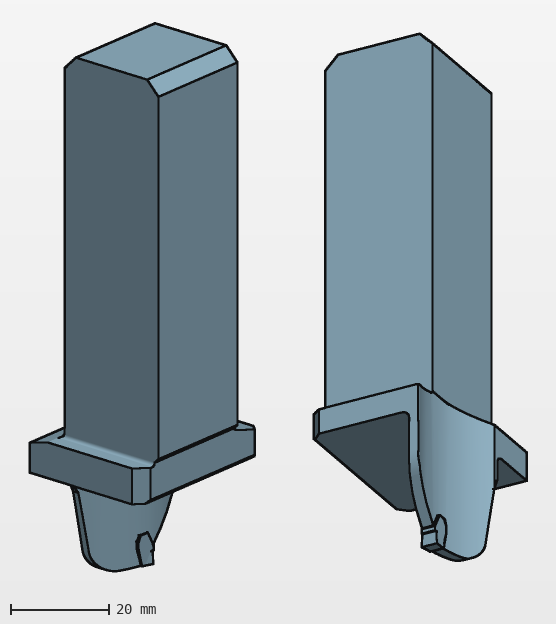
import cadquery as cq
import math


shank_width = 25.0
total_height = 118.6
shank_end_chamfer = 3.0
shank_heel_chamfer = 1.0

foot_left = -5.97
foot_right = shank_width - shank_heel_chamfer
foot_front = -4.0
foot_back = 34.37
foot_bottom = 26.6
foot_thickness = 7.85
foot_top = foot_bottom + foot_thickness
foot_corner_chamfer = 2.7
foot_bottom_chamfer = 0.8
slope_angle = math.radians(15)
slope_fillet = 1.5
front_fillet = 0.75
heel_z = foot_top + front_fillet
shank_start_z = heel_z + shank_heel_chamfer

arc_center_y = 25.3
inner_radius = 24.2
inner_apex_x = -0.27
outer_radius = 21.1
outer_apex_x = 2.36
back_edge_x = -1.74
blade_root_fillet = 1.6

blade_bottom = 0.5
front_edge_y = 8.5
front_edge_low_z = 21.0
front_taper_y = 9.7
front_taper_z = 18.4
front_toe_y = 11.8
front_toe_radius = 5.4
back_bevel_top_z = 14.4
back_bevel_angle = math.radians(48)
back_bevel_radius = 7.0

plate_left = -0.8
plate_right = outer_apex_x
plate_top_z = 7.3
plate_top_back_y = 23.5
plate_top_front_y = 21.2
plate_front_y = 20.6
plate_front_top_z = 6.0
plate_front_low_z = 4.4
plate_lip_y = 25.36
plate_lip_z = 3.9
rake_face_y = 25.0
heel_y = 21.7
tip_height = 2.9
tip_overhang = 0.22
side_relief = math.radians(5)
radial_relief = math.radians(3.5)
bottom_relief = math.radians(7)


def fillet_below_wall(fall_angle, radius):
    """Fillet from an upright wall to a surface falling away outward at fall_angle.

    Returns how far it runs out from the wall, how far it climbs the wall, and the
    offset (outward, downward) of its middle point from where it leaves the wall.
    """
    half_turn = (math.pi / 2 - fall_angle) / 2
    run = radius * (1 - math.sin(fall_angle))
    climb = radius * math.cos(fall_angle)
    middle = (radius * (1 - math.cos(half_turn)), radius * math.sin(half_turn))
    return run, climb, middle


def make_holder_body():
    """Shank and foot: the front outline and the side outline carried through each other."""
    slope_run, slope_climb, slope_mid = fillet_below_wall(slope_angle, slope_fillet)
    front_run, front_climb, front_mid = fillet_below_wall(0, front_fillet)
    slope_wall_z = foot_top + slope_climb
    front_wall_z = foot_top + front_climb
    left_edge_z = foot_top - (abs(foot_left) - slope_run) * math.tan(slope_angle)
    back_edge_z = foot_top - (foot_back - shank_width - slope_run) * math.tan(slope_angle)

    front_outline = (
        cq.Workplane("XZ", origin=(0, foot_front, 0))
        .moveTo(shank_end_chamfer, total_height)
        .lineTo(0, total_height - shank_end_chamfer)
        .lineTo(0, slope_wall_z)
        .threePointArc((-slope_mid[0], slope_wall_z - slope_mid[1]), (-slope_run, foot_top))
        .lineTo(foot_left, left_edge_z)
        .lineTo(foot_left, foot_bottom)
        .lineTo(foot_right - foot_bottom_chamfer, foot_bottom)
        .lineTo(foot_right, foot_bottom + foot_bottom_chamfer)
        .lineTo(foot_right, heel_z)
        .lineTo(shank_width, shank_start_z)
        .lineTo(shank_width, total_height - shank_end_chamfer)
        .lineTo(shank_width - shank_end_chamfer, total_height)
        .close()
        .extrude(foot_front - foot_back)
    )
    side_outline = (
        cq.Workplane("YZ", origin=(foot_left, 0, 0))
        .moveTo(0, total_height)
        .lineTo(0, front_wall_z)
        .threePointArc((-front_mid[0], front_wall_z - front_mid[1]), (-front_run, foot_top))
        .lineTo(foot_front, foot_top)
        .lineTo(foot_front, foot_bottom)
        .lineTo(foot_back, foot_bottom)
        .lineTo(foot_back, back_edge_z)
        .lineTo(shank_width + slope_run, foot_top)
        .threePointArc(
            (shank_width + slope_mid[0], slope_wall_z - slope_mid[1]), (shank_width, slope_wall_z)
        )
        .lineTo(shank_width, total_height)
        .close()
        .extrude(shank_width - foot_left)
    )
    body = front_outline.intersect(side_outline)
    for corner_y, inward in ((foot_front, 1), (foot_back, -1)):
        corner = (
            cq.Workplane("XY")
            .moveTo(foot_right, corner_y)
            .lineTo(foot_right - foot_corner_chamfer, corner_y)
            .lineTo(foot_right, corner_y + inward * foot_corner_chamfer)
            .close()
            .extrude(total_height)
        )
        body = body.cut(corner)
    return body


def arc_column(apex_x, radius):
    """Upright cylinder bulging toward +X as far as apex_x, reaching above the whole foot."""
    return cq.Workplane("XY").center(apex_x - radius, arc_center_y).circle(radius).extrude(shank_start_z)


def hollow_column():
    """Volume removed along the concave face, which ends flat beside the back edge."""
    flat_start_y = arc_center_y + math.sqrt(
        inner_radius**2 - (back_edge_x - inner_apex_x + inner_radius) ** 2
    )
    back_flat = (
        cq.Workplane("XY")
        .moveTo(foot_left, flat_start_y)
        .lineTo(back_edge_x, flat_start_y)
        .lineTo(back_edge_x, foot_back)
        .lineTo(foot_left, foot_back)
        .close()
        .extrude(shank_start_z)
    )
    return arc_column(inner_apex_x, inner_radius).union(back_flat)


def make_blade():
    """Curved blade under the foot, still filled on its concave side."""
    bevel_bottom_y = foot_back - (back_bevel_top_z - blade_bottom) / math.tan(back_bevel_angle)
    plate = (
        cq.Workplane("YZ", origin=(foot_left, 0, 0))
        .moveTo(front_edge_y, foot_bottom)
        .lineTo(front_edge_y, front_edge_low_z)
        .lineTo(front_taper_y, front_taper_z)
        .lineTo(front_toe_y, blade_bottom)
        .lineTo(bevel_bottom_y, blade_bottom)
        .lineTo(foot_back, back_bevel_top_z)
        .lineTo(foot_back, foot_bottom)
        .close()
        .extrude(outer_apex_x - foot_left)
    )
    for corner_y, corner_z, radius in (
        (front_toe_y, blade_bottom, front_toe_radius),
        (foot_back, back_bevel_top_z, back_bevel_radius),
    ):
        corner = cq.selectors.NearestToPointSelector(((foot_left + outer_apex_x) / 2, corner_y, corner_z))
        plate = plate.edges(corner).fillet(radius)
    return plate.intersect(arc_column(outer_apex_x, outer_radius))


def make_holder():
    """Shank, foot and blade as one solid, filleted at the blade root and then hollowed."""
    holder = make_holder_body().union(make_blade())
    root_arc = holder.faces("<Z[-2]").edges("%CIRCLE")
    return root_arc.fillet(blade_root_fillet).cut(hollow_column())


def tip_section(distance_back):
    """XZ corners of the insert tip at a distance behind the rake face."""
    bottom_z = distance_back * math.tan(bottom_relief)
    corners = []
    for z, order in ((bottom_z, (-1, 1)), (tip_height, (1, -1))):
        overhang = tip_overhang - distance_back * math.tan(side_relief) - z * math.tan(radial_relief)
        for side in order:
            flank_x = plate_left if side < 0 else plate_right
            corners.append((flank_x + side * overhang, z))
    return corners


def make_insert():
    """Flat plate plus a tip that is widest at the cutting edge and narrows behind and above it."""
    tip_depth = rake_face_y - heel_y
    plate = (
        cq.Workplane("YZ", origin=(plate_left, 0, 0))
        .moveTo(rake_face_y, 0)
        .lineTo(rake_face_y, tip_height)
        .lineTo(plate_lip_y, tip_height)
        .lineTo(plate_lip_y, plate_lip_z)
        .lineTo(plate_top_back_y, plate_top_z)
        .lineTo(plate_top_front_y, plate_top_z)
        .lineTo(plate_front_y, plate_front_top_z)
        .lineTo(plate_front_y, plate_front_low_z)
        .lineTo(heel_y, tip_depth * math.tan(bottom_relief))
        .close()
        .extrude(plate_right - plate_left)
    )
    tip = (
        cq.Workplane("XZ", origin=(0, rake_face_y, 0))
        .polyline(tip_section(0))
        .close()
        .workplane(offset=tip_depth)
        .polyline(tip_section(tip_depth))
        .close()
        .loft(ruled=True)
    )
    return plate.union(tip)


insert = make_insert()
holder = make_holder().cut(insert)

result = cq.Compound.makeCompound([holder.val(), insert.val()])